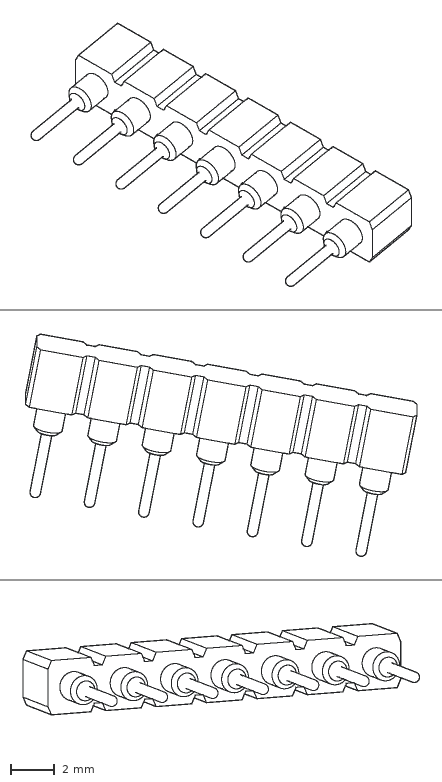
import cadquery as cq
import math

length = 17.78
pin_count = 7
pitch = length / pin_count
height = 2.55
total_depth = 7.38
body_depth = 2.81

groove_depth = 0.4
groove_floor_width = 0.4
bevel_run = 0.18

collar_radius = 0.68
collar_length = 1.2
shoulder_radius = 0.46
shoulder_length = 0.21
neck_fillet = 0.16
stem_radius = 0.25

body_front = total_depth / 2 - body_depth
pin_end = -total_depth / 2


def make_body():
    """Bar with bevelled long end edges, extruded along Y."""
    half_length = length / 2
    half_height = height / 2
    bevel_top = half_height - groove_depth
    return (
        cq.Workplane("XZ", origin=(0, body_front, 0))
        .polyline([
            (-half_length, -bevel_top),
            (-half_length + bevel_run, -half_height),
            (half_length - bevel_run, -half_height),
            (half_length, -bevel_top),
            (half_length, bevel_top),
            (half_length - bevel_run, half_height),
            (-half_length + bevel_run, half_height),
            (-half_length, bevel_top),
        ])
        .close()
        .extrude(-body_depth)
    )


def make_groove(x, side):
    """Trapezoidal cutter along Y; side is +1 for the top face, -1 for the bottom face."""
    half_floor = groove_floor_width / 2
    half_mouth = half_floor + bevel_run
    mouth_z = side * height / 2
    floor_z = side * (height / 2 - groove_depth)
    return (
        cq.Workplane("XZ", origin=(x, body_front, 0))
        .polyline([
            (-half_mouth, mouth_z),
            (-half_floor, floor_z),
            (half_floor, floor_z),
            (half_mouth, mouth_z),
        ])
        .close()
        .extrude(-body_depth)
    )


def make_pin(x):
    """Collar, tapered shoulder and round-tipped stem revolved about an axis along Y."""
    collar_end = body_front - collar_length
    shoulder_end = collar_end - shoulder_length
    fillet_outer = stem_radius + neck_fillet
    fillet_inset = neck_fillet * (1 - math.sqrt(0.5))
    tip_offset = stem_radius * math.sqrt(0.5)
    tip_center = pin_end + stem_radius
    return (
        cq.Workplane("XY", origin=(x, 0, 0))
        .moveTo(0, body_front)
        .lineTo(collar_radius, body_front)
        .lineTo(collar_radius, collar_end)
        .lineTo(shoulder_radius, shoulder_end)
        .lineTo(fillet_outer, shoulder_end)
        .threePointArc(
            (stem_radius + fillet_inset, shoulder_end - fillet_inset),
            (stem_radius, shoulder_end - neck_fillet),
        )
        .lineTo(stem_radius, tip_center)
        .threePointArc((tip_offset, tip_center - tip_offset), (0, pin_end))
        .close()
        .revolve(360, (0, 0, 0), (0, 1, 0))
    )


result = make_body()

for i in range(1, pin_count):
    groove_x = -length / 2 + i * pitch
    for side in (1, -1):
        result = result.cut(make_groove(groove_x, side))

for i in range(pin_count):
    result = result.union(make_pin(-length / 2 + (i + 0.5) * pitch))